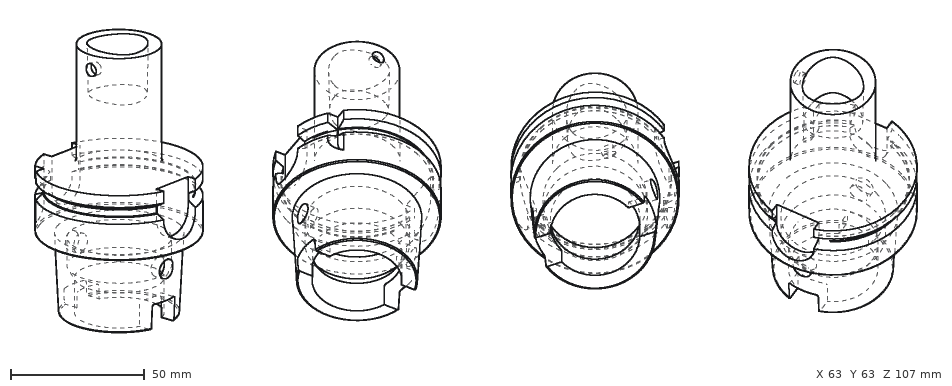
import cadquery as cq
import math

flange_radius = 31.5
flange_height = 26.0
flange_edge_chamfer = 0.5

groove_bottom_radius = 28.4
groove_lower_edge_z = 14.6
groove_upper_edge_z = 21.3
groove_included_angle = 60.0
groove_corner_radius = 0.4

tube_radius = 16.0
tube_top_z = 75.0
tube_root_fillet = 3.5

bore_mean_radius = 11.45
bore_eccentricity = 0.7
bore_taper = 1 / 50
bore_depth = 20.0
bore_curve_points = 36

side_hole_diameter = 5.0
side_hole_z = tube_top_z - 6.0
side_hole_depth = 3.0

shank_length = 32.0
shank_top_radius = 24.25
shank_taper = 1 / 20
shank_end_chamfer = 0.5
cavity_mouth_radius = 16.8
cavity_chamber_radius = 19.6
cavity_shoulder_z = -18.0
cavity_shoulder_angle = 30.0
cavity_top_z = -2.0

cross_hole_diameter = 7.7
cross_hole_z = -9.0

notch_width = 12.7
notch_corner_radius = 1.0
left_notch_top_z = -26.0
right_notch_top_z = -21.8

keyway_floor_x = 26.5
keyway_bottom_z = 5.0
left_keyway_width = 16.0
right_keyway_width = 18.0

orientation_notch_floor_x = 20.0
orientation_notch_inner_y = -20.0

cut_margin = 5.0


def round_groove_corners(body):
    """Fillet both corners of the groove bottom."""
    reach = groove_bottom_radius + groove_corner_radius
    corners = cq.selectors.BoxSelector(
        (-reach, -reach, groove_lower_edge_z),
        (reach, reach, groove_upper_edge_z),
        boundingbox=True,
    )
    return body.edges(corners).edges("%CIRCLE").fillet(groove_corner_radius)


def make_body():
    """Solid shank, flange and tube as one turned profile."""
    shank_end_radius = shank_top_radius - shank_length * shank_taper
    groove_depth = flange_radius - groove_bottom_radius
    groove_run = groove_depth * math.tan(math.radians(groove_included_angle / 2))
    chamfer_start_radius = shank_end_radius + shank_end_chamfer * shank_taper
    fillet_mid_offset = tube_root_fillet * (1 - math.sqrt(0.5))
    profile = (
        cq.Workplane("XZ")
        .moveTo(0, -shank_length)
        .lineTo(shank_end_radius - shank_end_chamfer, -shank_length)
        .lineTo(chamfer_start_radius, -shank_length + shank_end_chamfer)
        .lineTo(shank_top_radius, 0)
        .lineTo(flange_radius - flange_edge_chamfer, 0)
        .lineTo(flange_radius, flange_edge_chamfer)
        .lineTo(flange_radius, groove_lower_edge_z)
        .lineTo(groove_bottom_radius, groove_lower_edge_z + groove_run)
        .lineTo(groove_bottom_radius, groove_upper_edge_z - groove_run)
        .lineTo(flange_radius, groove_upper_edge_z)
        .lineTo(flange_radius, flange_height)
        .lineTo(tube_radius + tube_root_fillet, flange_height)
        .threePointArc(
            (tube_radius + fillet_mid_offset, flange_height + fillet_mid_offset),
            (tube_radius, flange_height + tube_root_fillet),
        )
        .lineTo(tube_radius, tube_top_z)
        .lineTo(0, tube_top_z)
        .close()
    )
    body = profile.revolve(360, (0, 0), (0, 1))
    return round_groove_corners(body)


def bore_outline(mean_radius):
    """Evenly spaced points on a three-lobed trochoid with one lobe toward +Y."""
    wave = bore_eccentricity
    points = []
    for step in range(bore_curve_points):
        angle = 2 * math.pi * step / bore_curve_points
        across = mean_radius * math.sin(angle) + 2 * wave * math.sin(2 * angle) + wave * math.sin(4 * angle)
        along = mean_radius * math.cos(angle) - 2 * wave * math.cos(2 * angle) + wave * math.cos(4 * angle)
        points.append((across, -along))
    return points


def make_polygon_bore():
    """Three-lobed bore sunk from the tube top, narrowing slightly with depth."""
    floor_mean_radius = bore_mean_radius - bore_depth * bore_taper
    return (
        cq.Workplane("XY", origin=(0, 0, tube_top_z))
        .spline(bore_outline(bore_mean_radius), periodic=True, makeWire=True)
        .workplane(offset=-bore_depth)
        .spline(bore_outline(floor_mean_radius), periodic=True, makeWire=True)
        .loft(ruled=True)
    )


def make_side_hole():
    """Blind flat-bottomed hole from the -Y side of the tube."""
    return (
        cq.Workplane("XZ", origin=(0, side_hole_depth - tube_radius, side_hole_z))
        .circle(side_hole_diameter / 2)
        .extrude(side_hole_depth + cut_margin)
    )


def make_cavity():
    """Hollow of the shank: a mouth bore opening through a conical shoulder into a wider chamber."""
    widening = cavity_chamber_radius - cavity_mouth_radius
    shoulder_height = widening / math.tan(math.radians(cavity_shoulder_angle))
    return (
        cq.Workplane("XZ")
        .moveTo(0, -shank_length)
        .lineTo(cavity_mouth_radius, -shank_length)
        .lineTo(cavity_mouth_radius, cavity_shoulder_z)
        .lineTo(cavity_chamber_radius, cavity_shoulder_z + shoulder_height)
        .lineTo(cavity_chamber_radius, cavity_top_z)
        .lineTo(0, cavity_top_z)
        .close()
        .revolve(360, (0, 0), (0, 1))
    )


def make_cross_hole():
    """Hole along X through both walls of the shank."""
    return (
        cq.Workplane("YZ", origin=(0, 0, cross_hole_z))
        .circle(cross_hole_diameter / 2)
        .extrude(shank_top_radius + cut_margin, both=True)
    )


def make_drive_notch(side, top_z):
    """Notch through the shank wall, open downward; side is -1 or +1 along X."""
    length = shank_top_radius + cut_margin
    height = top_z + shank_length + cut_margin
    return (
        cq.Workplane("XY")
        .box(length, notch_width, height)
        .edges("|X and >Z")
        .fillet(notch_corner_radius)
        .translate((side * length / 2, 0, top_z - height / 2))
    )


def make_keyway(side, floor_x, center_y, width):
    """Upright slot with a round bottom, running along X from its floor to outside the flange."""
    radius = width / 2
    length = flange_radius + cut_margin - floor_x
    center_z = keyway_bottom_z + radius
    top_z = flange_height + cut_margin
    return (
        cq.Workplane("YZ", origin=(side * floor_x, 0, 0))
        .moveTo(center_y - radius, top_z)
        .lineTo(center_y - radius, center_z)
        .threePointArc((center_y, keyway_bottom_z), (center_y + radius, center_z))
        .lineTo(center_y + radius, top_z)
        .close()
        .extrude(side * length)
    )


orientation_notch_center_y = orientation_notch_inner_y - left_keyway_width / 2

result = (
    make_body()
    .cut(make_polygon_bore())
    .cut(make_side_hole())
    .cut(make_cavity())
    .cut(make_cross_hole())
    .cut(make_drive_notch(-1, left_notch_top_z))
    .cut(make_drive_notch(1, right_notch_top_z))
    .cut(make_keyway(-1, keyway_floor_x, 0, left_keyway_width))
    .cut(make_keyway(1, keyway_floor_x, 0, right_keyway_width))
    .cut(make_keyway(-1, orientation_notch_floor_x, orientation_notch_center_y, left_keyway_width))
)